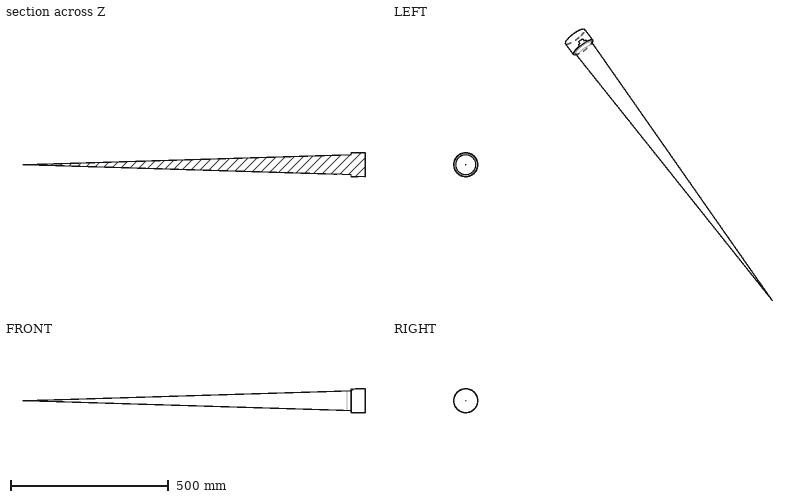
import cadquery as cq

length = 1086.0
tip_diameter = 0.2
cone_diameter = 63.0

neck_length = 13.0
neck_fillet = 2.0
cap_diameter = 77.0
cap_length = 46.0
cap_chamfer = 1.0

recess_depth = 1.0
recess_wide_length = 7.0
recess_wide_width = 28.0
recess_narrow_length = 14.0
recess_narrow_width = 16.0

cap_start = length - cap_length
neck_start = cap_start - neck_length
neck_radius = cone_diameter / 2
cap_radius = cap_diameter / 2


def make_body():
    """Cone, straight neck and cap, revolved about X."""
    return (
        cq.Workplane("XY")
        .lineTo(0, tip_diameter / 2)
        .lineTo(neck_start, neck_radius)
        .lineTo(cap_start - neck_fillet, neck_radius)
        .radiusArc((cap_start, neck_radius + neck_fillet), -neck_fillet)
        .lineTo(cap_start, cap_radius - cap_chamfer)
        .lineTo(cap_start + cap_chamfer, cap_radius)
        .lineTo(length - cap_chamfer, cap_radius)
        .lineTo(length, cap_radius - cap_chamfer)
        .lineTo(length, 0)
        .close()
        .revolve(360, (0, 0, 0), (1, 0, 0))
    )


def make_recess_block(block_length, width):
    """Block from the axis to the top of the cap, starting at the cap's front face."""
    return (
        cq.Workplane("XY")
        .box(block_length, width, cap_radius, centered=(False, True, False))
        .translate((cap_start, 0, 0))
    )


def make_recess():
    """Stepped outline limited to a thin shell under the top of the cap."""
    wide_block = make_recess_block(recess_wide_length, recess_wide_width)
    narrow_block = make_recess_block(recess_narrow_length, recess_narrow_width)
    core = cq.Workplane("YZ").circle(cap_radius - recess_depth).extrude(length)
    return wide_block.union(narrow_block).cut(core)


result = make_body().cut(make_recess())